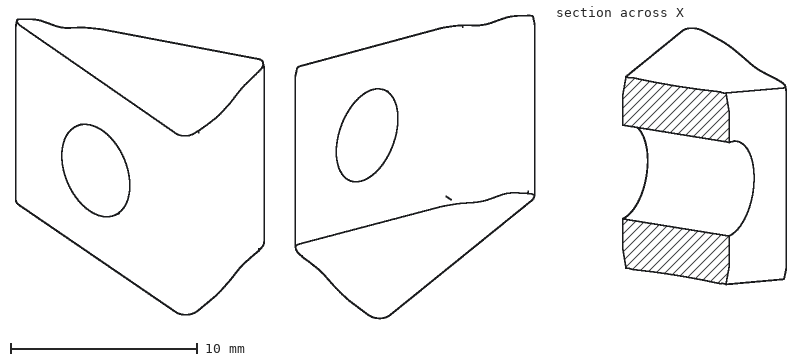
import cadquery as cq
import math


half_length = 6.905
half_thickness = 3.325
side_slope = math.tan(math.radians(3.0))
corner_radius = 1.12
hole_diameter = 5.2

edge_station = 3.1
mid_height = 5.34
edge_gradient = 0.193
top_stations = [
    (0.0, 5.26, 0.0),
    (0.6, 5.265, 0.054),
    (1.2, 5.285, 0.096),
    (2.3, 5.33, 0.15),
    (edge_station, mid_height, edge_gradient),
    (3.6, 5.345, 0.215),
]

relief_slope = math.tan(math.radians(11.0))
cone_axis_x = 5.9
high_inset = 0.215
low_inset = 0.17

end_margin = 1.0
outer_margin = 0.3
cut_above = 0.5
cut_below = 2.0

HALF_TURN = 180
ORIGIN = (0, 0, 0)


def make_plate():
    corner_x = half_length - half_thickness * side_slope
    outline = [
        (half_length, 0),
        (corner_x, half_thickness),
        (-corner_x, half_thickness),
        (-half_length, 0),
        (-corner_x, -half_thickness),
        (corner_x, -half_thickness),
    ]
    plate_height = 2 * (mid_height + edge_gradient * half_length + end_margin)
    plate = cq.Workplane("XY").polyline(outline).close().extrude(plate_height / 2, both=True)
    return plate.edges("|Z").edges(">Y or <Y").fillet(corner_radius)


def make_twisted_envelope():
    """Solid between the top face and the bottom face, which is the top turned about X."""
    reach = half_length + end_margin
    sections = []
    for x in (-reach, reach):
        top = [(x, -y, height - gradient * x) for y, height, gradient in reversed(top_stations[1:])]
        top += [(x, y, height + gradient * x) for y, height, gradient in top_stations]
        bottom = [(x, -y, -z) for _, y, z in top]
        edges = [
            cq.Edge.makeSpline([cq.Vector(*point) for point in top]),
            cq.Edge.makeLine(cq.Vector(*top[-1]), cq.Vector(*bottom[0])),
            cq.Edge.makeSpline([cq.Vector(*point) for point in bottom]),
            cq.Edge.makeLine(cq.Vector(*bottom[-1]), cq.Vector(*top[0])),
        ]
        sections.append(cq.Wire.assembleEdges(edges))
    return cq.Workplane(obj=cq.Solid.makeLoft(sections, True))


def front_edge_height(x):
    return mid_height - edge_gradient * x


def make_edge_cutter():
    """Wedge outside the relief plane of the front top edge."""
    outer_y = half_thickness + outer_margin
    sections = []
    for x, inset in ((-cone_axis_x, high_inset), (cone_axis_x, low_inset)):
        edge_y = half_thickness - inset
        edge_z = front_edge_height(x)
        triangle = [
            cq.Vector(x, -(edge_y - cut_above * relief_slope), edge_z + cut_above),
            cq.Vector(x, -outer_y, edge_z + cut_above),
            cq.Vector(x, -outer_y, edge_z - (outer_y - edge_y) / relief_slope),
        ]
        sections.append(cq.Wire.makePolygon(triangle, close=True))
    return cq.Workplane(obj=cq.Solid.makeLoft(sections, True))


def make_corner_cutter(end, inset):
    """Block outside the relief cone at one end (-1 or +1) of the front top edge."""
    edge_y = half_thickness - inset
    axis_x = end * cone_axis_x
    edge_z = front_edge_height(axis_x)

    side_gap = half_length - cone_axis_x - edge_y * side_slope
    edge_radius = side_gap / (math.hypot(1, side_slope) - side_slope)
    axis_y = -(edge_y - edge_radius)

    block_length = half_length + outer_margin - cone_axis_x
    block_width = half_thickness + outer_margin + axis_y
    block_height = cut_above + cut_below
    block = cq.Workplane("XY").box(block_length, block_width, block_height).translate(
        (
            axis_x + end * block_length / 2,
            axis_y - block_width / 2,
            edge_z + (cut_above - cut_below) / 2,
        )
    )
    cone = cq.Solid.makeCone(
        edge_radius + cut_below * relief_slope,
        edge_radius - cut_above * relief_slope,
        block_height,
        cq.Vector(axis_x, axis_y, edge_z - cut_below),
    )
    return block.cut(cq.Workplane(obj=cone))


def cut_reliefs(body):
    cutters = [
        make_edge_cutter(),
        make_corner_cutter(-1, high_inset),
        make_corner_cutter(1, low_inset),
    ]
    for cutter in cutters:
        body = body.cut(cutter)
        for axis in ((1, 0, 0), (0, 1, 0), (0, 0, 1)):
            body = body.cut(cutter.rotate(ORIGIN, axis, HALF_TURN))
    return body


def make_hole():
    return cq.Workplane("XZ").circle(hole_diameter / 2).extrude(2 * half_thickness, both=True)


result = cut_reliefs(make_plate().intersect(make_twisted_envelope())).cut(make_hole())